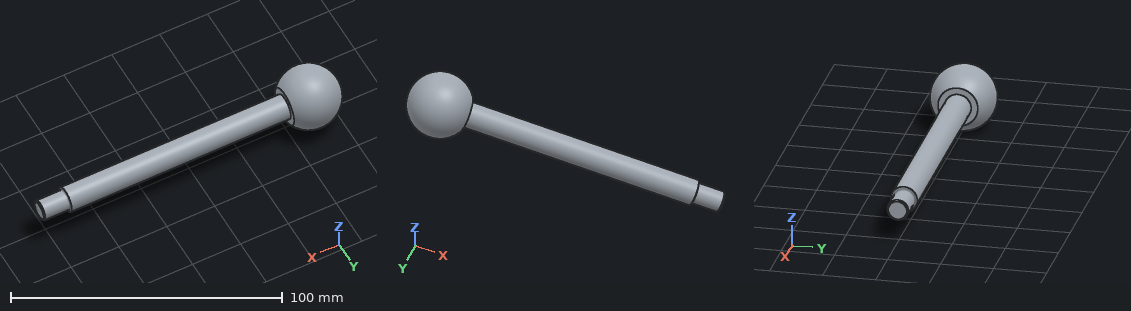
import cadquery as cq
import math

total_length = 125.0
ball_diameter = 25.0
ball_length = 22.5
rod_diameter = 10.0
root_fillet = 0.2
tip_diameter = 8.0
tip_length = 11.0
tip_chamfer = 0.5

ball_radius = ball_diameter / 2
rod_radius = rod_diameter / 2
tip_radius = tip_diameter / 2
flat_x = ball_length - ball_radius
flat_radius = math.sqrt(ball_radius**2 - flat_x**2)
end_x = total_length - ball_radius
shoulder_x = end_x - tip_length

profile = (
    cq.Workplane("XZ")
    .moveTo(-ball_radius, 0)
    .threePointArc((0, ball_radius), (flat_x, flat_radius))
    .lineTo(flat_x, rod_radius)
    .lineTo(shoulder_x, rod_radius)
    .lineTo(shoulder_x, tip_radius + root_fillet)
    .radiusArc((shoulder_x + root_fillet, tip_radius), -root_fillet)
    .lineTo(end_x - tip_chamfer, tip_radius)
    .lineTo(end_x, tip_radius - tip_chamfer)
    .lineTo(end_x, 0)
    .close()
)

result = profile.revolve(360, (0, 0, 0), (1, 0, 0))